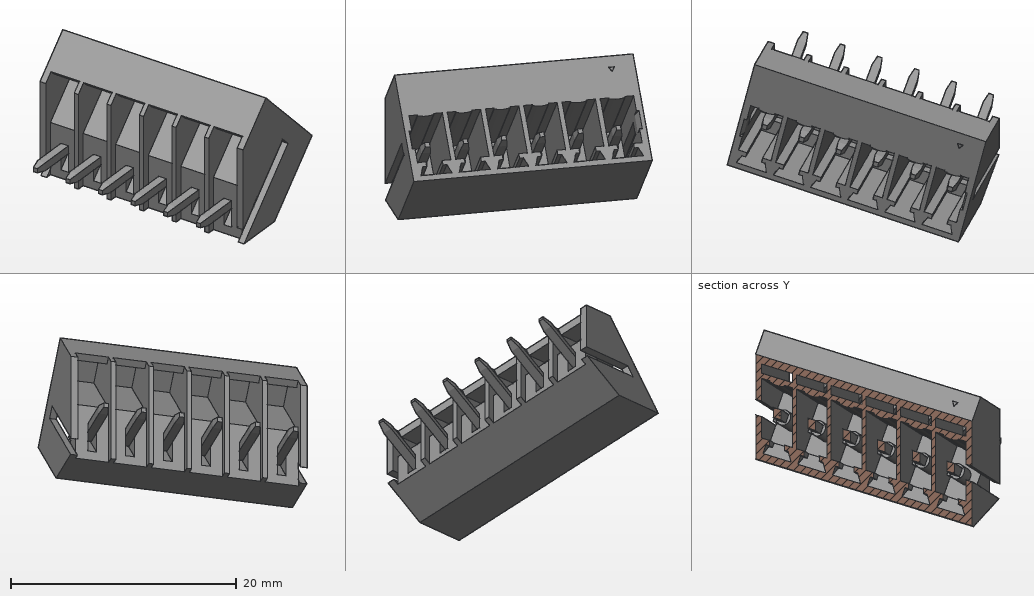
import cadquery as cq
import math

ROOT2 = math.sqrt(2)

length = 21.8
height = 13.32
depth = 10.97
back_height = 9.7
apex_y = height - back_height
outer_edge_z = height - (depth - apex_y)
base_y = depth - outer_edge_z

pole_count = 6
end_margin = 2.15
pitch = (length - 2 * end_margin) / (pole_count - 1)
pole_xs = [end_margin - length / 2 + i * pitch for i in range(pole_count)]
bay_width = 3.05
end_wall = end_margin - bay_width / 2

cavity_start = 1.79
cavity_end = 6.37
cavity_depth = 7.5
key_top = 0.52
key_shoulder = 1.35
key_top_width = 2.83
key_shoulder_width = 2.18
key_neck_width = 1.48
rib_width = key_neck_width
rib_edge_height = 0.09
rib_height = 0.2
pin_boss_diameter = 1.4
pin_boss_height = 1.75
relief_depth = 0.92

pin_size = 0.8
pin_tip_size = 0.44
pin_taper_length = 0.98
pin_z = 3.18
pin_reach = 3.92
inner_tip_depth = 1.44
axis_offset = 0.7
elbow_y = pin_z - axis_offset
mouth_sum = apex_y + height
pin_s = (axis_offset + base_y) / ROOT2

pocket_inset = 0.75
pocket_step_z = 5.36
pocket_mouth_z = 10.53
pocket_wall = 0.65

side_slot_width = 1.18
side_slot_start = 2.0

lead_width = 1.75
lead_inset = 0.25
lead_depth = 0.9

mark_width = 0.52
mark_height = 0.41
mark_base_s = 9.3
mark_depth = 0.07


def mouth_plane(x=0.0, s=0.0, sunk=0.0):
    """Plane on the mouth face: local x is X, local y climbs to the apex, the normal points inward."""
    y = depth - (s + sunk) / ROOT2
    z = outer_edge_z + (s - sunk) / ROOT2
    return cq.Plane(origin=(x, y, z), xDir=(1, 0, 0), normal=(0, -1, -1))


def side_prism(points, center_x, width):
    """Prism along X from an outline of (y, z) points."""
    return cq.Workplane("YZ", origin=(center_x, 0, 0)).polyline(points).close().extrude(width / 2, both=True)


def housing():
    outline = [(0, 0), (base_y, 0), (depth, outer_edge_z), (apex_y, height), (0, back_height)]
    return side_prism(outline, 0, length)


def plug_cavity(x):
    """Rectangular cavity with a dovetail keyway, a rounded rib and a boss around the pin."""
    mouth = cq.Workplane(mouth_plane(x))
    chamber = (
        mouth.moveTo(-bay_width / 2, cavity_start)
        .lineTo(bay_width / 2, cavity_start)
        .lineTo(bay_width / 2, cavity_end)
        .lineTo(rib_width / 2, cavity_end)
        .lineTo(rib_width / 2, cavity_end - rib_edge_height)
        .threePointArc((0, cavity_end - rib_height), (-rib_width / 2, cavity_end - rib_edge_height))
        .lineTo(-rib_width / 2, cavity_end)
        .lineTo(-bay_width / 2, cavity_end)
        .close()
        .extrude(cavity_depth)
    )
    right_side = [
        (key_top_width / 2, key_top),
        (key_shoulder_width / 2, key_shoulder),
        (key_neck_width / 2, key_shoulder),
        (key_neck_width / 2, cavity_start),
    ]
    left_side = [(-px, s) for px, s in reversed(right_side)]
    keyway = mouth.polyline(right_side + left_side).close().extrude(cavity_depth)
    boss = (
        cq.Workplane(mouth_plane(x, pin_s, cavity_depth - pin_boss_height))
        .circle(pin_boss_diameter / 2)
        .extrude(pin_boss_height + relief_depth)
    )
    relief_end = pin_s - pin_size / 2
    relief = (
        cq.Workplane(mouth_plane(x, (cavity_start + relief_end) / 2, cavity_depth))
        .rect(bay_width, relief_end - cavity_start)
        .extrude(relief_depth)
    )
    return chamber.union(keyway).union(relief).cut(boss)


def back_pocket(x):
    """Pocket open to the back and underside, running up behind the back slope."""
    floor_offset = pocket_step_z - pocket_inset
    skin_offset = back_height - pocket_wall * ROOT2
    end_sum = mouth_sum - pocket_wall * ROOT2
    lip_y = pocket_mouth_z - back_height
    lip_step = pocket_wall / ROOT2
    outline = [
        (0, 0),
        (pocket_inset, 0),
        (pocket_inset, pocket_step_z),
        ((end_sum - floor_offset) / 2, (end_sum + floor_offset) / 2),
        ((end_sum - skin_offset) / 2, (end_sum + skin_offset) / 2),
        (lip_y + lip_step, pocket_mouth_z - lip_step),
        (lip_y, pocket_mouth_z),
        (0, back_height),
    ]
    return side_prism(outline, x, bay_width)


def pin_window(x):
    """Sloped opening below the pin, level with the underside of its inner leg."""
    floor_offset = axis_offset - pin_size / ROOT2
    outline = [
        (pocket_inset, pocket_inset + floor_offset),
        (pocket_inset, pin_z),
        (pin_z - floor_offset, pin_z),
    ]
    return side_prism(outline, x, pin_size)


def pin_leg(tip_plane, leg_length):
    """Square leg running along the plane's normal, tapered toward the tip at its origin."""
    narrowing = math.degrees(math.atan((pin_size - pin_tip_size) / 2 / pin_taper_length))
    taper_base = cq.Workplane(tip_plane).workplane(offset=pin_taper_length)
    shank = taper_base.rect(pin_size, pin_size).extrude(leg_length - pin_taper_length)
    tip = taper_base.rect(pin_size, pin_size).extrude(-pin_taper_length, taper=narrowing)
    return shank.union(tip)


def pin(x):
    outer_tip = cq.Plane(origin=(x, -pin_reach, pin_z), xDir=(1, 0, 0), normal=(0, 1, 0))
    outer_leg = pin_leg(outer_tip, pin_reach + elbow_y)
    elbow_depth = (mouth_sum - elbow_y - pin_z) / ROOT2
    inner_leg = pin_leg(mouth_plane(x, pin_s, inner_tip_depth), elbow_depth - inner_tip_depth)
    return outer_leg.union(inner_leg)


def side_slot(side):
    """Slot through an end wall, from below the mouth face out through the back."""
    center_x = side * (length - end_wall) / 2
    return (
        cq.Workplane(mouth_plane(center_x, pin_s, side_slot_start))
        .rect(end_wall, side_slot_width)
        .extrude(depth)
    )


def lead_in(side):
    """Wedge that opens the outer wall of an end cavity toward its mouth."""
    wall_x = side * (length / 2 - end_wall)
    wedge_plane = cq.Plane(mouth_plane(wall_x, pin_s).origin, xDir=(side, 0, 0), normal=(0, side, -side))
    return (
        cq.Workplane(wedge_plane)
        .polyline([(0, 0), (lead_inset, 0), (0, lead_depth)])
        .close()
        .extrude(lead_width / 2, both=True)
    )


def pole_mark(x):
    """Shallow triangle beside the first pole, pointing at its cavity."""
    return (
        cq.Workplane(mouth_plane(x, mark_base_s))
        .polyline([(-mark_width / 2, 0), (mark_width / 2, 0), (0, -mark_height)])
        .close()
        .extrude(mark_depth)
    )


body = housing()
for pole_x in pole_xs:
    body = body.cut(plug_cavity(pole_x)).cut(back_pocket(pole_x)).cut(pin_window(pole_x))
for end in (-1, 1):
    body = body.cut(side_slot(end)).cut(lead_in(end))
body = body.cut(pole_mark(pole_xs[0]))
for pole_x in pole_xs:
    body = body.union(pin(pole_x))

result = body